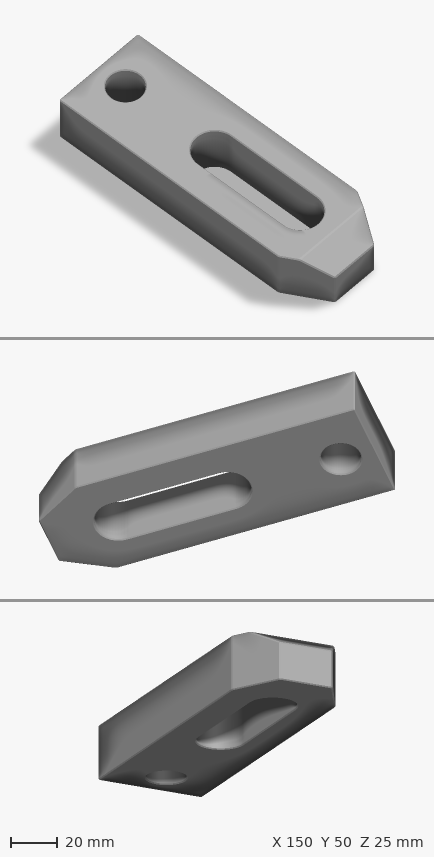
import cadquery as cq
import math

length = 150.0
width = length / 3
height = width / 2
edge_break = 0.5

taper_angle = math.radians(30)
tip_width = width / 2
nose_drop = 8.0
side_taper_length = (width - tip_width) / 2 / math.tan(taper_angle)
top_taper_length = nose_drop / math.tan(taper_angle)

hole_diameter = 17.5
hole_x = 15.8
slot_width = 21.0
slot_length = 71.0
slot_end_x = 128.4
slot_x = slot_end_x - slot_length / 2


def make_body():
    """Bar with its sides and top tapered towards the nose, all edges broken."""
    plan = (
        cq.Workplane("XY")
        .moveTo(0, -width / 2)
        .lineTo(length - side_taper_length, -width / 2)
        .lineTo(length, -tip_width / 2)
        .lineTo(length, tip_width / 2)
        .lineTo(length - side_taper_length, width / 2)
        .lineTo(0, width / 2)
        .close()
        .extrude(height)
    )
    profile = (
        cq.Workplane("XZ")
        .moveTo(0, 0)
        .lineTo(length, 0)
        .lineTo(length, height - nose_drop)
        .lineTo(length - top_taper_length, height)
        .lineTo(0, height)
        .close()
        .extrude(width / 2, both=True)
    )
    return plan.intersect(profile).edges().chamfer(edge_break)


hole = cq.Workplane("XY").center(hole_x, 0).circle(hole_diameter / 2).extrude(height)
slot = cq.Workplane("XY").center(slot_x, 0).slot2D(slot_length, slot_width).extrude(height)

opened = make_body().cut(hole).cut(slot)
top_rims = opened.faces(">Z").val().innerWires()
bottom_rims = opened.faces("<Z").val().innerWires()
rim_edges = [edge for rim in top_rims + bottom_rims for edge in rim.Edges()]

result = opened.newObject(rim_edges).chamfer(edge_break)